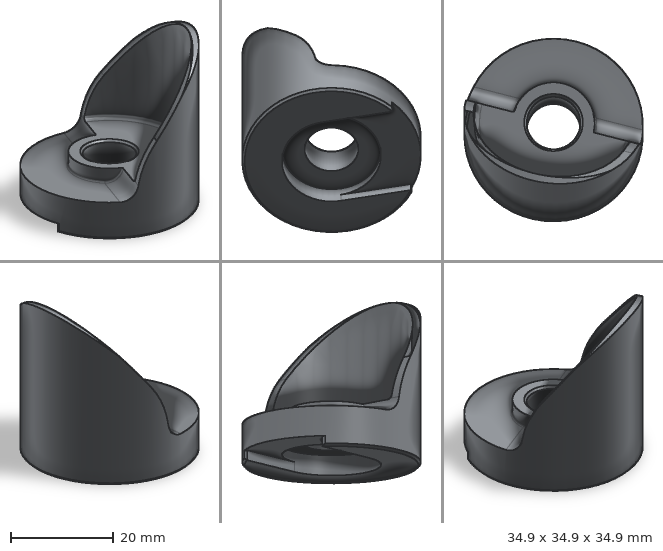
import cadquery as cq
import math

outer_radius = 17.45
height = 34.92
bottom_chamfer = 0.5

step_height = 8.0
floor_height = 10.95
rim_start_height = 11.2
bend_y = 3.98
bend_height = 20.0
rim_top_y = 16.0
step_fillet_end_y = -3.63

hollow_bottom_radius = 15.47
hollow_top_radius = rim_top_y
hollow_fillet = 0.98

boss_radius = 8.03
boss_base_fillet = 0.35
bore_radius = 5.25
bore_chamfer = 0.5

notch_half_width = 10.48
notch_depth = 2.0
slot_radius = 9.67
counterbore_depth = 4.0

clearance = 3.5


def make_body():
    """Cylinder with a chamfered foot, domed across X by an equal cylinder along Y."""
    body = cq.Workplane("XY").circle(outer_radius).extrude(height)
    body = body.faces("<Z").edges().chamfer(bottom_chamfer)
    dome_center = height - outer_radius
    dome = (
        cq.Workplane("XZ")
        .moveTo(-outer_radius, 0)
        .lineTo(outer_radius, 0)
        .lineTo(outer_radius, dome_center)
        .threePointArc((0, height), (-outer_radius, dome_center))
        .close()
        .extrude(outer_radius + clearance, both=True)
    )
    return body.intersect(dome)


def make_front_cut():
    """Space in front of the sloping rim and above the step."""
    fillet_rise = rim_start_height - step_height
    fillet_radius = (step_fillet_end_y**2 + fillet_rise**2) / (2 * fillet_rise)
    half_sweep = math.atan2(fillet_rise, -step_fillet_end_y)
    fillet_middle = (
        step_fillet_end_y + fillet_radius * math.sin(half_sweep),
        step_height + fillet_radius * (1 - math.cos(half_sweep)),
    )
    front = -outer_radius - clearance
    return (
        cq.Workplane("YZ")
        .moveTo(front, height + clearance)
        .lineTo(rim_top_y, height + clearance)
        .lineTo(rim_top_y, height)
        .lineTo(bend_y, bend_height)
        .tangentArcPoint((0, rim_start_height), relative=False)
        .threePointArc(fillet_middle, (step_fillet_end_y, step_height))
        .lineTo(front, step_height)
        .close()
        .extrude(outer_radius + clearance, both=True)
    )


def make_hollow():
    """Conical hollow with a rounded edge at the raised floor."""
    return (
        cq.Workplane("XZ")
        .moveTo(0, floor_height)
        .lineTo(hollow_bottom_radius, floor_height)
        .lineTo(hollow_top_radius, height)
        .lineTo(0, height)
        .close()
        .revolve(360, (0, 0), (0, 1))
        .faces("<Z")
        .edges()
        .fillet(hollow_fillet)
    )


def make_boss():
    """Boss around the bore, level with the raised floor."""
    return cq.Workplane("XY").circle(boss_radius).extrude(floor_height)


def make_underside_cut():
    """Front notch, slot running into it, and the counterbore around the bore."""
    notch_y = -math.sqrt(outer_radius**2 - notch_half_width**2)
    notch = cq.Workplane("XY").box(
        2 * outer_radius, outer_radius, notch_depth, centered=(True, False, False)
    ).translate((0, notch_y - outer_radius, 0))
    slot = cq.Workplane("XY").box(
        2 * slot_radius, outer_radius, notch_depth, centered=(True, False, False)
    ).translate((0, -outer_radius, 0))
    counterbore = cq.Workplane("XY").circle(slot_radius).extrude(counterbore_depth)
    return notch.union(slot).union(counterbore)


def make_bore():
    """Through bore with a chamfered mouth."""
    bore = cq.Workplane("XY").circle(bore_radius).extrude(floor_height)
    mouth = (
        cq.Workplane("XY", origin=(0, 0, floor_height - bore_chamfer))
        .circle(bore_radius)
        .workplane(offset=bore_chamfer)
        .circle(bore_radius + bore_chamfer)
        .loft()
    )
    return bore.union(mouth)


def round_boss_foot(part):
    """Fillet where the boss meets the step and the concave fillet behind it."""
    foot_reach = boss_radius + boss_base_fillet
    foot_edges = cq.selectors.BoxSelector(
        (-foot_reach, -foot_reach, step_height - boss_base_fillet),
        (foot_reach, 0, floor_height - boss_base_fillet),
    )
    return part.edges(foot_edges).fillet(boss_base_fillet)


result = make_body().cut(make_front_cut()).cut(make_hollow()).union(make_boss())
result = round_boss_foot(result)
result = result.cut(make_underside_cut()).cut(make_bore())